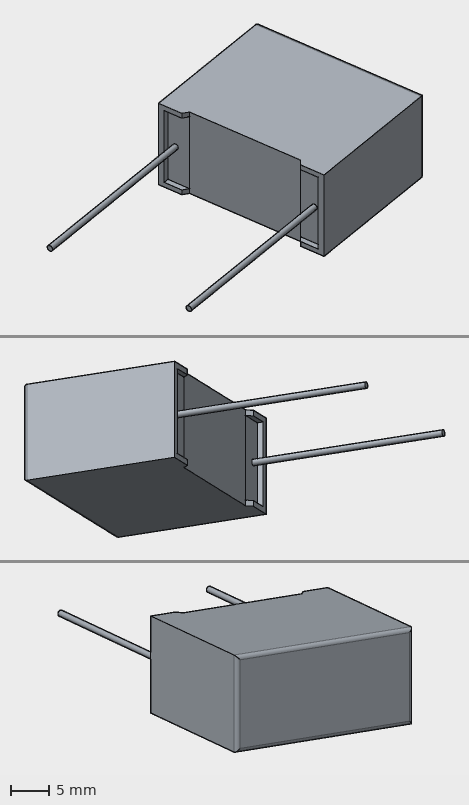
import cadquery as cq

case_width = 26.8
case_height = 13.2
case_depth = 22.15
total_depth = 49.1
back_radius = 0.6

side_wall = 0.95
top_wall = 0.8
back_wall = side_wall
band_thickness = side_wall

recess_depth = 0.85
recess_half_width = 9.0
recess_mouth_half_width = 9.6

lead_diameter = 0.9
lead_spacing = 22.5
lead_end_y = case_depth - total_depth

cavity_width = case_width - 2 * side_wall
cavity_height = case_height - 2 * top_wall
cavity_back_y = case_depth - back_wall
band_back_y = recess_depth + band_thickness


def block(width, height, front_y, back_y):
    """Box centred in X and Z, spanning front_y to back_y."""
    return cq.Workplane("XY").box(
        width, back_y - front_y, height, centered=(True, False, True)
    ).translate((0, front_y, 0))


def make_cavity(front_y):
    """Space inside the case, open at the front on both sides of the middle band."""
    cavity = block(cavity_width, cavity_height, front_y, cavity_back_y)
    band = block(2 * recess_half_width, case_height, front_y, band_back_y)
    return cavity.cut(band)


def make_case():
    """Box with a rounded back, a recessed middle band and two front windows."""
    body = block(case_width, case_height, 0, case_depth)
    body = body.faces(">Y").edges().fillet(back_radius)
    recess = (
        cq.Workplane("XY")
        .polyline([
            (-recess_mouth_half_width, 0),
            (-recess_half_width, recess_depth),
            (recess_half_width, recess_depth),
            (recess_mouth_half_width, 0),
        ])
        .close()
        .extrude(case_height / 2, both=True)
    )
    return body.cut(recess).cut(make_cavity(0))


def make_filling():
    """Potting inside the case, flush with the recessed band in both windows."""
    return make_cavity(recess_depth)


def make_lead(x):
    """Round wire standing on the potting and running toward -Y."""
    return (
        cq.Workplane("XZ", origin=(x, recess_depth, 0))
        .circle(lead_diameter / 2)
        .extrude(recess_depth - lead_end_y)
    )


case = make_case()
filling = make_filling()
leads = [make_lead(side * lead_spacing / 2) for side in (-1, 1)]

result = cq.Compound.makeCompound([case.val(), filling.val(), *[lead.val() for lead in leads]])